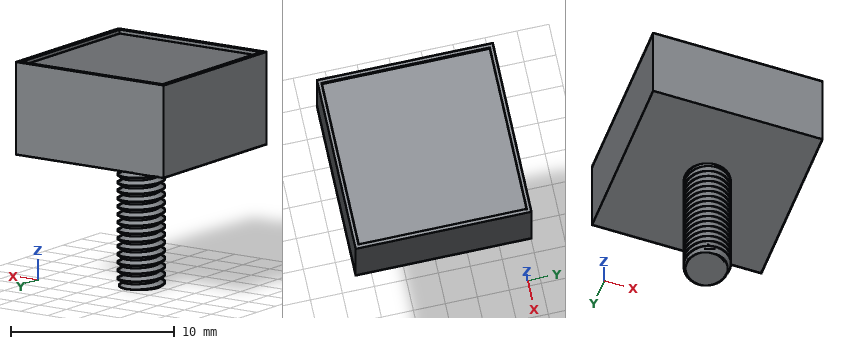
import cadquery as cq

total_height = 14.3
head_width = 11.0
head_height = 5.8
rim_width = 0.25
recess_depth = 0.25

stud_diameter = 2.9
thread_pitch = 0.5
thread_depth = 0.36
crest_width = 0.03
groove_top_drop = 0.36
groove_turns = 17
runout_turns = 0.1
cutter_overhang = 0.01
seam_angle = 180

stud_length = total_height - head_height
stud_radius = stud_diameter / 2
root_radius = stud_radius - thread_depth


def make_head():
    head = cq.Workplane("XY").workplane(offset=stud_length).rect(head_width, head_width)
    head = head.extrude(head_height)
    recess_width = head_width - 2 * rim_width
    return head.faces(">Z").workplane().rect(recess_width, recess_width).cutBlind(-recess_depth)


def make_groove_cutter():
    """Right-handed V groove whose flanks carry on slightly past the stud surface."""
    groove_height = (groove_turns + runout_turns) * thread_pitch
    start_z = stud_length - groove_top_drop - groove_turns * thread_pitch
    half_mouth = (thread_pitch - crest_width) / 2
    outer_radius = stud_radius + cutter_overhang
    outer_half_height = half_mouth * (outer_radius - root_radius) / thread_depth
    helix = cq.Wire.makeHelix(thread_pitch, groove_height, stud_radius, cq.Vector(0, 0, start_z))
    profile = cq.Workplane("XZ").polyline([
        (root_radius, start_z),
        (outer_radius, start_z - outer_half_height),
        (outer_radius, start_z + outer_half_height),
    ]).close()
    return profile.sweep(cq.Workplane(obj=helix), isFrenet=True)


def make_stud():
    blank = cq.Workplane("XY").circle(stud_radius).extrude(stud_length)
    blank = blank.rotate((0, 0, 0), (0, 0, 1), seam_angle)
    return blank.cut(make_groove_cutter())


result = make_head().union(make_stud())